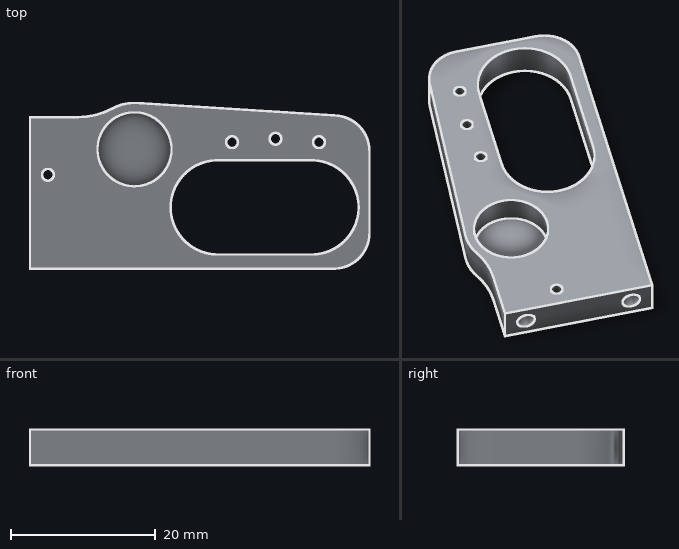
import cadquery as cq
import math

length = 47.0
width = 23.0
thickness = 5.0
left_edge_height = 21.0
corner_radius = 5.0
top_slope = math.radians(3.6)

pocket_x = 14.48
pocket_y = 16.55
pocket_radius = 5.1
pocket_depth = 4.0
hump_radius = width - pocket_y
blend_radius = 10.0

window_x = 32.5
window_y = 8.5
window_length = 26.0
window_width = 13.0

pin_diameter = 1.6
end_pin = (2.5, 13.0)
row_middle_x = 34.0
row_pitch = 6.0
row_outer_y = 17.55
row_middle_y = 18.0

end_hole_diameter = 2.5
end_hole_depth = 6.0
end_hole_first_y = 3.0
end_hole_spacing = 15.0


def point_on_circle(center, radius, angle):
    return (center[0] + radius * math.cos(angle), center[1] + radius * math.sin(angle))


def make_plate():
    """Plate with a hump blended into its upper edge and two rounded right corners."""
    pocket_center = (pocket_x, pocket_y)

    blend_y = left_edge_height + blend_radius
    blend_rise = blend_y - pocket_y
    blend_run = math.sqrt((hump_radius + blend_radius) ** 2 - blend_rise**2)
    blend_center = (pocket_x - blend_run, blend_y)
    join_angle = math.atan2(blend_rise, -blend_run)
    blend_start = (blend_center[0], left_edge_height)
    blend_end_angle = join_angle - math.pi
    blend_middle = point_on_circle(blend_center, blend_radius, (blend_end_angle - math.pi / 2) / 2)
    blend_end = point_on_circle(pocket_center, hump_radius, join_angle)

    slope_angle = math.pi / 2 - top_slope
    slope_start = point_on_circle(pocket_center, hump_radius, slope_angle)
    slope_end_y = slope_start[1] - (length - slope_start[0]) * math.tan(top_slope)
    hump_middle = point_on_circle(pocket_center, hump_radius, (join_angle + slope_angle) / 2)

    return (
        cq.Workplane("XY")
        .lineTo(length, 0)
        .lineTo(length, slope_end_y)
        .lineTo(*slope_start)
        .threePointArc(hump_middle, blend_end)
        .threePointArc(blend_middle, blend_start)
        .lineTo(0, left_edge_height)
        .close()
        .extrude(thickness)
        .edges("|Z and >X")
        .fillet(corner_radius)
    )


def make_pocket():
    floor = cq.Workplane("XY", origin=(pocket_x, pocket_y, thickness - pocket_depth))
    return floor.circle(pocket_radius).extrude(pocket_depth)


def make_window():
    base = cq.Workplane("XY", origin=(window_x, window_y, 0))
    return base.slot2D(window_length, window_width).extrude(thickness)


def make_pin_holes():
    centers = [
        end_pin,
        (row_middle_x - row_pitch, row_outer_y),
        (row_middle_x, row_middle_y),
        (row_middle_x + row_pitch, row_outer_y),
    ]
    return cq.Workplane("XY").pushPoints(centers).circle(pin_diameter / 2).extrude(thickness)


def make_end_holes():
    centers = [(end_hole_first_y + i * end_hole_spacing, thickness / 2) for i in range(2)]
    return cq.Workplane("YZ").pushPoints(centers).circle(end_hole_diameter / 2).extrude(end_hole_depth)


result = make_plate()
for cutter in (make_pocket(), make_window(), make_pin_holes(), make_end_holes()):
    result = result.cut(cutter)